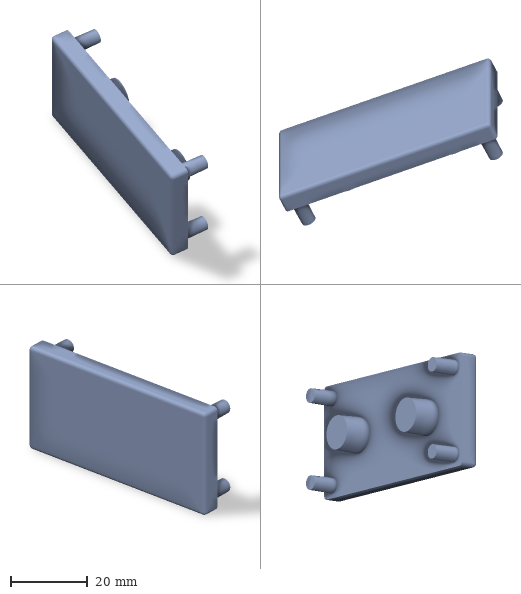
import cadquery as cq

length = 60.0
height = 30.0
total_depth = 12.1
peg_length = 7.1
plate_depth = total_depth - peg_length
edge_radius = 1.0

peg_center_z = -0.1
boss_base_diameter = 9.6
boss_tip_diameter = 9.0
boss_offset_x = 15.0
pin_base_diameter = 4.1
pin_tip_diameter = 3.85
pin_offset_x = 26.5
pin_offset_z = 11.5


def make_plate():
    """Plate with rounded corners and a rounded front rim; the back edges stay sharp."""
    plate = cq.Workplane("XY").box(length, plate_depth, height, centered=(True, False, True))
    return plate.edges("|Y or <Y").fillet(edge_radius)


def make_peg(x, z, base_diameter, tip_diameter):
    """Tapered round peg standing on the back of the plate."""
    return cq.Workplane(
        cq.Solid.makeCone(
            base_diameter / 2,
            tip_diameter / 2,
            peg_length,
            pnt=cq.Vector(x, plate_depth, z),
            dir=cq.Vector(0, 1, 0),
        )
    )


result = make_plate()
for side_x in (-1, 1):
    result = result.union(
        make_peg(side_x * boss_offset_x, peg_center_z, boss_base_diameter, boss_tip_diameter)
    )
    for side_z in (-1, 1):
        pin_z = peg_center_z + side_z * pin_offset_z
        result = result.union(
            make_peg(side_x * pin_offset_x, pin_z, pin_base_diameter, pin_tip_diameter)
        )